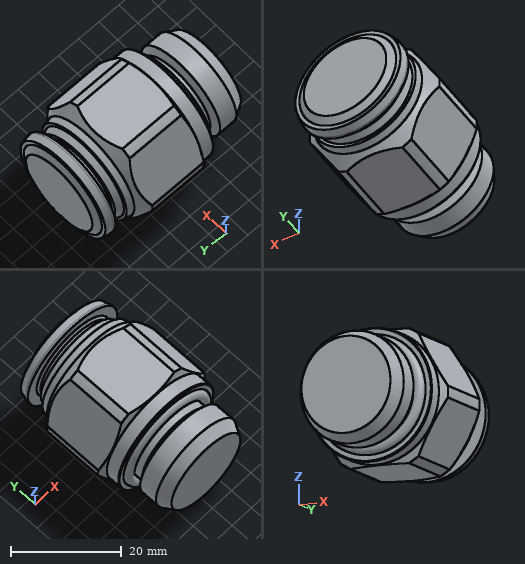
import cadquery as cq
import math

length = 36.8

plug_radius = 10.4
plug_tip_radius = 8.98
plug_chamfer_end = 2.55
plug_shoulder = 6.55
relief_radius = 8.85
relief_start = 7.5

seal_radius = 11.15
seal_section_radius = 1.18
collar_start = 10.0
collar_radius = 12.35
collar_break = 0.15

hex_across_flats = 25.0
hex_corner_radius = 13.85
hex_start = 13.03
hex_front_corner = 13.8
hex_back_corner = 26.65
hex_end = 28.92
hex_end_radius = 11.5

lower_step_end = 30.5
lower_step_radius = 11.15
upper_step_base_radius = 10.45
upper_step_end = 32.13
upper_step_radius = 9.85

neck_radius = 8.9
neck_flare_start = 33.12
flange_start = 33.67
flare_radius = 9.35
flange_radius = 11.63
flange_taper_start = 34.2
flange_end = 35.85
flange_end_radius = 11.22
sleeve_radius = 10.3
sleeve_tip_radius = 8.8


def turned_body():
    """Revolve the complete round profile, including the hexagon's corner envelope."""
    seal_centre_radius = seal_radius - seal_section_radius
    seal_crown = collar_start - seal_section_radius
    seal_inner_rise = math.sqrt(seal_section_radius**2 - (seal_centre_radius - relief_radius) ** 2)
    profile = (
        cq.Workplane("XY")
        .moveTo(0, 0)
        .lineTo(plug_tip_radius, 0)
        .lineTo(plug_radius, plug_chamfer_end)
        .lineTo(plug_radius, plug_shoulder)
        .lineTo(relief_radius, relief_start)
        .lineTo(relief_radius, collar_start - seal_inner_rise)
        .threePointArc((seal_centre_radius, seal_crown), (seal_radius, collar_start))
        .lineTo(collar_radius - collar_break, collar_start)
        .lineTo(collar_radius, collar_start + collar_break)
        .lineTo(collar_radius, hex_start)
        .lineTo(hex_corner_radius, hex_front_corner)
        .lineTo(hex_corner_radius, hex_back_corner)
        .lineTo(hex_end_radius, hex_end)
        .lineTo(lower_step_radius, lower_step_end)
        .lineTo(upper_step_base_radius, lower_step_end)
        .lineTo(upper_step_radius, upper_step_end)
        .lineTo(neck_radius, upper_step_end)
        .lineTo(neck_radius, neck_flare_start)
        .lineTo(flare_radius, flange_start)
        .lineTo(flange_radius, flange_start)
        .lineTo(flange_radius, flange_taper_start)
        .lineTo(flange_end_radius, flange_end)
        .lineTo(sleeve_radius, flange_end)
        .lineTo(sleeve_tip_radius, length)
        .lineTo(0, length)
        .close()
    )
    return profile.revolve(360, (0, 0, 0), (0, 1, 0))


def hexagonal_prism():
    """Full-length hexagon along Y with two corners on the X axis."""
    across_corners = hex_across_flats / math.cos(math.pi / 6)
    return cq.Workplane("XZ").polygon(6, across_corners).extrude(-length)


result = turned_body().intersect(hexagonal_prism())